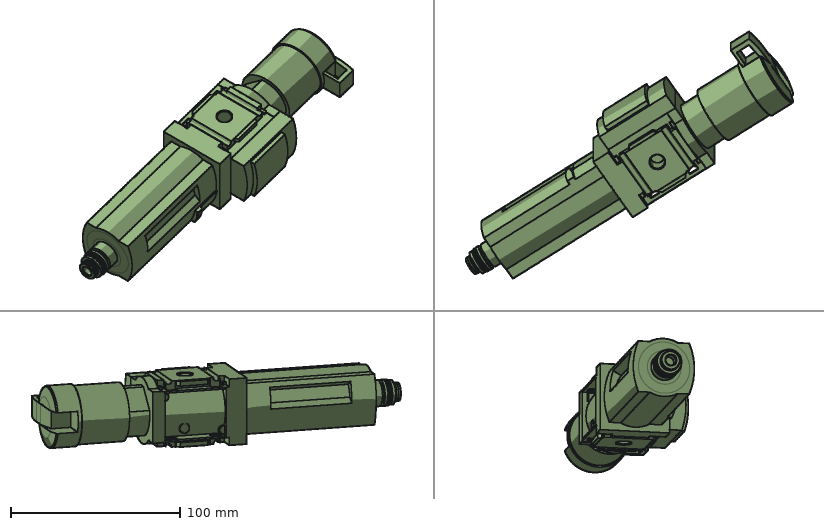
import cadquery as cq
import math


OVERALL_LENGTH = 219.41
KNOB_TOP = 87.0
KNOB_CHAMFER_Y = 85.3
KNOB_RING_EDGE_Y = 84.4
LOCK_SLOT_FLOOR = 72.2
KNOB_RING_BOTTOM = 69.7
KNOB_BOTTOM = 40.0
HOUSING_TOP = 26.7
CORE_HALF_LENGTH = 20.8
HOUSING_BOTTOM = -31.5
BOWL_BOTTOM = -112.8
BOWL_END = -113.4
NIPPLE_END = KNOB_TOP - OVERALL_LENGTH

KNOB_RING_RADIUS = 37.2 / 2
KNOB_RADIUS = 35.2 / 2
KNOB_CAP_RADIUS = 12.3
KNOB_CHAMFER_RADIUS = 18.1
LOCK_SLOT_WIDTH = 12.6
HOOK_START_X = -4.0
HOOK_RAMP_Y = 84.2
HOOK_FLAT_X = 8.8
HOOK_CURVE_X = 16.0
HOOK_OUTER_X = 30.3
HOOK_TIP_Y = 85.2
HOOK_WALL = 3.2
HOOK_FOOT = 2.1
HOOK_WINDOW_TOP = 84.1
HOOK_WINDOW_TOP_OUTER = 83.0

NECK_RADIUS = 15.1
NECK_FLAT_DISTANCE = 12.6
NECK_FLAT_ANGLE = 45

OVERALL_WIDTH = 57.0
HOUSING_HALF_WIDTH = 21.0
HOUSING_HALF_HEIGHT = 40.2 / 2
FRAME_HALF_HEIGHT = 15.6
CORE_HALF_HEIGHT = 15.4
RECESS_HALF_LENGTH = 19.0
RECESS_HALF_HEIGHT = 14.3
RECESS_CORE_RADIUS = 18.7
BOSS_END_X = -17.8
PEG_RADIUS = 6.0 / 2
PEG_Y = 5.9
PEG_Z = -8.5
CORNER_BOSS_RADIUS = 2.5
CORNER_BOSS_Y = 18.3
CORNER_BOSS_Z = 11.2
CLIP_HOLE_LENGTH = 6.0
CLIP_HOLE_Y = 13.8
CLIP_HOLE_OUTER_X = -18.5
CLIP_HOLE_INNER_X = -14.7

PLATE_HALF_WIDTH = 15.3
PLATE_NECK_HALF_WIDTH = 11.5
GROOVE_Y = 15.0
GROOVE_RADIUS = 2.0
CORNER_CUT_Y = 16.9
CORNER_SHELF_Y = 18.8
CORNER_SHELF_Z = 16.8
WING_HALF_WIDTH = 17.5
WING_ROOT_HALF_LENGTH = 10.2
WING_TIP_HALF_LENGTH = 8.4
WING_BOTTOM_Z = 17.1
WING_TOP_Z = 19.9
PORT_DIAMETER = 8.57
PORT_CHAMFER = 0.5
PORT_DEPTH = 10.0

BOWL_HALF_HEIGHT = 15.4
BOWL_HALF_WIDTH = 18.5
BOWL_CORNER_X = 15.4
BOWL_RADIUS = 35.2 / 2
BOWL_CONE_RADIUS = 15.5
BOWL_END_RADIUS = 10.2
WINDOW_TOP_Y = -47.4
WINDOW_BOTTOM_Y = -97.6
WINDOW_RIM_HIGH_Z = 12.3
WINDOW_RIM_LOW_Z = -0.5
WINDOW_FLOOR_HIGH_Z = 9.5
WINDOW_FLOOR_LOW_Z = 2.4
WINDOW_FLOOR_RADIUS = 15.0
LATCH_TOP_Z = -5.0
LATCH_LIFT = 0.8
LATCH_NUB_LIFT = 2.6
LATCH_NUB_LENGTH = 4.6
LATCH_NUB_BEVEL = 1.4

NIPPLE_DIAMETER = 15.8
NIPPLE_NECK_DIAMETER = 11.8
NIPPLE_WAIST_DIAMETER = 11.0
NIPPLE_TIP_DIAMETER = 11.4
NIPPLE_BARREL_END = -120.1
NIPPLE_TIP_START = -129.7
NIPPLE_TIP_GROOVE_END = -131.0
NIPPLE_RINGS = [
    (-121.7, -123.6, NIPPLE_DIAMETER),
    (-124.6, -125.3, NIPPLE_DIAMETER),
    (-126.5, -128.4, 14.8),
]
NIPPLE_RIB_COUNT = 16
NIPPLE_RIB_WIDTH = 0.9
NIPPLE_RIB_RADIUS = 6.9
NIPPLE_BORE_DIAMETER = 6.1
NIPPLE_BORE_DEPTH = 6.0
NIPPLE_BORE_CHAMFER = 0.4

GAUGE_HALF_HEIGHT = 15.5
GAUGE_CORNER_X = 30.7
GAUGE_FRONT_X = 33.2
LENS_HALF_LENGTH = 14.8
LENS_HALF_HEIGHT = 14.3
LENS_CORNER_X = 33.8
LENS_FRONT_X = OVERALL_WIDTH - HOUSING_HALF_WIDTH


def block(x0, x1, y0, y1, z0, z1):
    """Box between two opposite corners."""
    size = (x1 - x0, y1 - y0, z1 - z0)
    return cq.Workplane("XY").box(*size, centered=False).translate((x0, y0, z0))


def disc(y_start, y_end, radius):
    """Cylinder on the long axis from y_start down to y_end."""
    return cq.Workplane("XZ", origin=(0, y_start, 0)).circle(radius).extrude(y_start - y_end)


def section(y_start):
    """Workplane across the long axis: local x is X, local y is Z, extruding towards -Y."""
    return cq.Workplane("XZ", origin=(0, y_start, 0))


def both_z_sides(shape):
    return [shape, shape.mirror("XY")]


def make_knob():
    half_profile = [
        (0, KNOB_BOTTOM),
        (KNOB_RADIUS, KNOB_BOTTOM),
        (KNOB_RADIUS, KNOB_RING_BOTTOM),
        (KNOB_RING_RADIUS, KNOB_RING_BOTTOM),
        (KNOB_RING_RADIUS, KNOB_RING_EDGE_Y),
        (KNOB_CHAMFER_RADIUS, KNOB_CHAMFER_Y),
        (KNOB_CAP_RADIUS, KNOB_TOP),
        (0, KNOB_TOP),
    ]
    knob = cq.Workplane("XY").polyline(half_profile).close().revolve(360, (0, 0), (0, 1))
    half_slot = LOCK_SLOT_WIDTH / 2
    slot = block(-HOOK_OUTER_X, HOOK_OUTER_X, LOCK_SLOT_FLOOR, KNOB_TOP, -half_slot, half_slot)
    return knob.cut(slot).union(make_lock_hook())


def make_lock_hook():
    window_outer_x = HOOK_OUTER_X - HOOK_WALL
    window_bottom = LOCK_SLOT_FLOOR + HOOK_FOOT
    hook = (
        cq.Workplane("XY", origin=(0, 0, -LOCK_SLOT_WIDTH / 2))
        .moveTo(HOOK_START_X, LOCK_SLOT_FLOOR)
        .lineTo(HOOK_START_X, HOOK_RAMP_Y)
        .lineTo(HOOK_FLAT_X, KNOB_TOP)
        .lineTo(HOOK_CURVE_X, KNOB_TOP)
        .tangentArcPoint((HOOK_OUTER_X, HOOK_TIP_Y), relative=False)
        .lineTo(HOOK_OUTER_X, LOCK_SLOT_FLOOR)
        .close()
        .extrude(LOCK_SLOT_WIDTH)
    )
    window_profile = [
        (KNOB_RADIUS, window_bottom),
        (window_outer_x, window_bottom),
        (window_outer_x, HOOK_WINDOW_TOP_OUTER),
        (KNOB_RADIUS, HOOK_WINDOW_TOP),
    ]
    window = cq.Workplane("XY").polyline(window_profile).close().extrude(LOCK_SLOT_WIDTH, both=True)
    return hook.cut(window)


def make_neck():
    neck = disc(KNOB_BOTTOM, HOUSING_TOP, NECK_RADIUS)
    flat = block(
        -2 * NECK_RADIUS, -NECK_FLAT_DISTANCE, HOUSING_TOP, KNOB_BOTTOM, -NECK_RADIUS, NECK_RADIUS
    )
    return neck.cut(flat.rotate((0, 0, 0), (0, 1, 0), NECK_FLAT_ANGLE))


def make_housing():
    width = HOUSING_HALF_WIDTH
    height = HOUSING_HALF_HEIGHT
    core = block(-width, width, HOUSING_BOTTOM, HOUSING_TOP, -CORE_HALF_HEIGHT, CORE_HALF_HEIGHT)
    upper_flange = block(
        -width, width, CORE_HALF_LENGTH, HOUSING_TOP, -FRAME_HALF_HEIGHT, FRAME_HALF_HEIGHT
    )
    lower_flange = block(-width, width, HOUSING_BOTTOM, -CORE_HALF_LENGTH, -height, height)
    upper_collar = disc(HOUSING_TOP, CORE_HALF_LENGTH, height)
    housing = core.union(upper_flange).union(lower_flange).union(upper_collar)
    for plate in both_z_sides(make_port_plate()):
        housing = housing.union(plate)
    housing = housing.cut(make_side_recess())
    for boss in make_recess_bosses():
        housing = housing.union(boss)
    for cutter in make_clip_holes() + both_z_sides(make_port()):
        housing = housing.cut(cutter)
    return housing


def make_port_plate():
    """Raised plate on the +Z side with two cross grooves, stepped corners and two side wings."""
    plate = block(
        -PLATE_HALF_WIDTH,
        PLATE_HALF_WIDTH,
        -CORE_HALF_LENGTH,
        CORE_HALF_LENGTH,
        0,
        HOUSING_HALF_HEIGHT,
    )
    groove_plane = cq.Workplane("YZ", origin=(-PLATE_HALF_WIDTH, 0, 0))
    groove = groove_plane.circle(GROOVE_RADIUS).extrude(2 * PLATE_HALF_WIDTH)
    deep_cut = block(
        PLATE_NECK_HALF_WIDTH,
        PLATE_HALF_WIDTH,
        CORNER_CUT_Y,
        CORNER_SHELF_Y,
        CORE_HALF_HEIGHT,
        HOUSING_HALF_HEIGHT,
    )
    shelf_cut = block(
        PLATE_NECK_HALF_WIDTH,
        PLATE_HALF_WIDTH,
        CORNER_SHELF_Y,
        CORE_HALF_LENGTH,
        CORNER_SHELF_Z,
        HOUSING_HALF_HEIGHT,
    )
    corner = deep_cut.union(shelf_cut)
    for end in (1, -1):
        plate = plate.cut(groove.translate((0, end * GROOVE_Y, HOUSING_HALF_HEIGHT)))
        end_corner = corner if end == 1 else corner.mirror("XZ")
        plate = plate.cut(end_corner).cut(end_corner.mirror("YZ"))
    wings_profile = [
        (PLATE_HALF_WIDTH, -WING_ROOT_HALF_LENGTH),
        (WING_HALF_WIDTH, -WING_TIP_HALF_LENGTH),
        (WING_HALF_WIDTH, WING_TIP_HALF_LENGTH),
        (PLATE_HALF_WIDTH, WING_ROOT_HALF_LENGTH),
        (-PLATE_HALF_WIDTH, WING_ROOT_HALF_LENGTH),
        (-WING_HALF_WIDTH, WING_TIP_HALF_LENGTH),
        (-WING_HALF_WIDTH, -WING_TIP_HALF_LENGTH),
        (-PLATE_HALF_WIDTH, -WING_ROOT_HALF_LENGTH),
    ]
    wings = (
        cq.Workplane("XY", origin=(0, 0, WING_BOTTOM_Z))
        .polyline(wings_profile)
        .close()
        .extrude(WING_TOP_Z - WING_BOTTOM_Z)
    )
    return plate.union(wings)


def make_side_recess():
    """Pocket in the -X side whose floor is the round valve core."""
    pocket = block(
        -HOUSING_HALF_WIDTH,
        0,
        -RECESS_HALF_LENGTH,
        RECESS_HALF_LENGTH,
        -RECESS_HALF_HEIGHT,
        RECESS_HALF_HEIGHT,
    )
    return pocket.cut(disc(RECESS_HALF_LENGTH, -RECESS_HALF_LENGTH, RECESS_CORE_RADIUS))


def make_recess_bosses():
    """Peg and two corner bosses that stand up from the valve core inside the recess."""

    def boss(y, z, radius):
        return cq.Workplane("YZ", origin=(BOSS_END_X, y, z)).circle(radius).extrude(-BOSS_END_X / 2)

    return [
        boss(PEG_Y, PEG_Z, PEG_RADIUS),
        boss(CORNER_BOSS_Y, CORNER_BOSS_Z, CORNER_BOSS_RADIUS),
        boss(-CORNER_BOSS_Y, -CORNER_BOSS_Z, CORNER_BOSS_RADIUS),
    ]


def make_clip_holes():
    """Rectangular holes through the thin recess walls, notching the ends of the plate grooves."""
    holes = []
    for y in (CLIP_HOLE_Y, -CLIP_HOLE_Y):
        hole = block(
            CLIP_HOLE_OUTER_X,
            CLIP_HOLE_INNER_X,
            y - CLIP_HOLE_LENGTH / 2,
            y + CLIP_HOLE_LENGTH / 2,
            RECESS_HALF_HEIGHT,
            HOUSING_HALF_HEIGHT,
        )
        holes += both_z_sides(hole.cut(disc(HOUSING_TOP, HOUSING_BOTTOM, RECESS_CORE_RADIUS)))
    return holes


def make_port():
    """Blind port on the +Z side with a chamfered mouth."""
    radius = PORT_DIAMETER / 2
    bottom = HOUSING_HALF_HEIGHT - PORT_DEPTH
    half_profile = [
        (0, bottom),
        (radius, bottom),
        (radius, HOUSING_HALF_HEIGHT - PORT_CHAMFER),
        (radius + PORT_CHAMFER, HOUSING_HALF_HEIGHT),
        (0, HOUSING_HALF_HEIGHT),
    ]
    return cq.Workplane("XZ").polyline(half_profile).close().revolve(360, (0, 0), (0, 1))


def bowl_slab(y_start, length, lift=0):
    """Flat-topped bowl outline whose arched sides are moved outwards by lift."""
    corner_x = BOWL_CORNER_X + lift
    half_width = BOWL_HALF_WIDTH + lift
    return (
        section(y_start)
        .moveTo(-corner_x, BOWL_HALF_HEIGHT)
        .lineTo(corner_x, BOWL_HALF_HEIGHT)
        .threePointArc((half_width, 0), (corner_x, -BOWL_HALF_HEIGHT))
        .lineTo(-corner_x, -BOWL_HALF_HEIGHT)
        .threePointArc((-half_width, 0), (-corner_x, BOWL_HALF_HEIGHT))
        .close()
        .extrude(length)
    )


def make_bowl():
    length = HOUSING_BOTTOM - BOWL_BOTTOM
    bowl = bowl_slab(HOUSING_BOTTOM, length)
    bowl = bowl.union(disc(HOUSING_BOTTOM, BOWL_BOTTOM, BOWL_RADIUS))
    window = make_window()
    bowl = bowl.cut(window).cut(window.mirror("YZ"))
    end_profile = [
        (0, BOWL_BOTTOM),
        (BOWL_CONE_RADIUS, BOWL_BOTTOM),
        (BOWL_END_RADIUS, BOWL_END),
        (0, BOWL_END),
    ]
    end_cone = cq.Workplane("XY").polyline(end_profile).close().revolve(360, (0, 0), (0, 1))
    return bowl.union(end_cone).union(make_latch())


def make_window():
    """Tapered sight window in the -X side with a cylindrical floor."""

    def floor_x(z):
        return -math.sqrt(WINDOW_FLOOR_RADIUS**2 - z**2)

    floor_mid_z = (WINDOW_FLOOR_HIGH_Z + WINDOW_FLOOR_LOW_Z) / 2
    rim_rise = BOWL_HALF_WIDTH - BOWL_CORNER_X
    side_radius = (BOWL_HALF_HEIGHT**2 + rim_rise**2) / (2 * rim_rise)

    def rim_x(z):
        return side_radius - BOWL_HALF_WIDTH - math.sqrt(side_radius**2 - z**2)

    rim_mid_z = (WINDOW_RIM_HIGH_Z + WINDOW_RIM_LOW_Z) / 2
    return (
        section(WINDOW_TOP_Y)
        .moveTo(rim_x(WINDOW_RIM_HIGH_Z), WINDOW_RIM_HIGH_Z)
        .lineTo(floor_x(WINDOW_FLOOR_HIGH_Z), WINDOW_FLOOR_HIGH_Z)
        .threePointArc(
            (floor_x(floor_mid_z), floor_mid_z),
            (floor_x(WINDOW_FLOOR_LOW_Z), WINDOW_FLOOR_LOW_Z),
        )
        .lineTo(rim_x(WINDOW_RIM_LOW_Z), WINDOW_RIM_LOW_Z)
        .threePointArc((rim_x(rim_mid_z), rim_mid_z), (rim_x(WINDOW_RIM_HIGH_Z), WINDOW_RIM_HIGH_Z))
        .close()
        .extrude(WINDOW_TOP_Y - WINDOW_BOTTOM_Y)
    )


def make_latch():
    """Bowl release latch low on the +X side: a thin slide ending in a raised nub."""
    slide = bowl_slab(HOUSING_BOTTOM, HOUSING_BOTTOM - WINDOW_TOP_Y, LATCH_LIFT)
    nub = bowl_slab(WINDOW_TOP_Y, LATCH_NUB_LENGTH, LATCH_NUB_LIFT)
    nub_end = WINDOW_TOP_Y - LATCH_NUB_LENGTH
    outer_x = BOWL_HALF_WIDTH + LATCH_NUB_LIFT
    bevel_profile = [
        (outer_x, nub_end),
        (outer_x - LATCH_NUB_BEVEL, nub_end),
        (outer_x, nub_end + LATCH_NUB_BEVEL),
    ]
    bevel = cq.Workplane("XY").polyline(bevel_profile).close().extrude(HOUSING_HALF_WIDTH, both=True)
    nub = nub.cut(bevel).cut(bevel.mirror("XZ", (0, WINDOW_TOP_Y - LATCH_NUB_LENGTH / 2, 0)))
    zone = block(BOWL_CORNER_X / 2, outer_x, nub_end, HOUSING_BOTTOM, -BOWL_HALF_HEIGHT, LATCH_TOP_Z)
    return slide.union(nub).intersect(zone)


def make_nipple():
    nipple = disc(BOWL_END, NIPPLE_BARREL_END, NIPPLE_DIAMETER / 2)
    nipple = nipple.union(disc(NIPPLE_BARREL_END, NIPPLE_RINGS[-1][1], NIPPLE_NECK_DIAMETER / 2))
    for start, end, diameter in NIPPLE_RINGS:
        nipple = nipple.union(disc(start, end, diameter / 2))
    rib = block(
        0,
        NIPPLE_RIB_RADIUS,
        NIPPLE_RINGS[-1][1],
        NIPPLE_RINGS[0][0],
        -NIPPLE_RIB_WIDTH / 2,
        NIPPLE_RIB_WIDTH / 2,
    )
    for index in range(NIPPLE_RIB_COUNT):
        angle = index * 360 / NIPPLE_RIB_COUNT
        nipple = nipple.union(rib.rotate((0, 0, 0), (0, 1, 0), angle))
    nipple = nipple.union(disc(NIPPLE_RINGS[-1][1], NIPPLE_END, NIPPLE_WAIST_DIAMETER / 2))
    nipple = nipple.union(disc(NIPPLE_TIP_START, NIPPLE_TIP_GROOVE_END, NIPPLE_TIP_DIAMETER / 2))
    return nipple.cut(make_nipple_bore())


def make_nipple_bore():
    radius = NIPPLE_BORE_DIAMETER / 2
    half_profile = [
        (0, NIPPLE_END),
        (radius + NIPPLE_BORE_CHAMFER, NIPPLE_END),
        (radius, NIPPLE_END + NIPPLE_BORE_CHAMFER),
        (radius, NIPPLE_END + NIPPLE_BORE_DEPTH),
        (0, NIPPLE_END + NIPPLE_BORE_DEPTH),
    ]
    return cq.Workplane("XY").polyline(half_profile).close().revolve(360, (0, 0), (0, 1))


def arched_block(y_start, length, half_height, corner_x, front_x):
    return (
        section(y_start)
        .moveTo(HOUSING_HALF_WIDTH, half_height)
        .lineTo(corner_x, half_height)
        .threePointArc((front_x, 0), (corner_x, -half_height))
        .lineTo(HOUSING_HALF_WIDTH, -half_height)
        .close()
        .extrude(length)
    )


def make_gauge():
    case = arched_block(
        HOUSING_TOP, HOUSING_TOP + CORE_HALF_LENGTH, GAUGE_HALF_HEIGHT, GAUGE_CORNER_X, GAUGE_FRONT_X
    )
    lens = arched_block(
        LENS_HALF_LENGTH, 2 * LENS_HALF_LENGTH, LENS_HALF_HEIGHT, LENS_CORNER_X, LENS_FRONT_X
    )
    return case.union(lens)


regulator = make_housing()
for section_body in (make_neck(), make_knob(), make_bowl(), make_nipple()):
    regulator = regulator.union(section_body)
gauge = make_gauge()

result = cq.Compound.makeCompound([regulator.val(), gauge.val()])